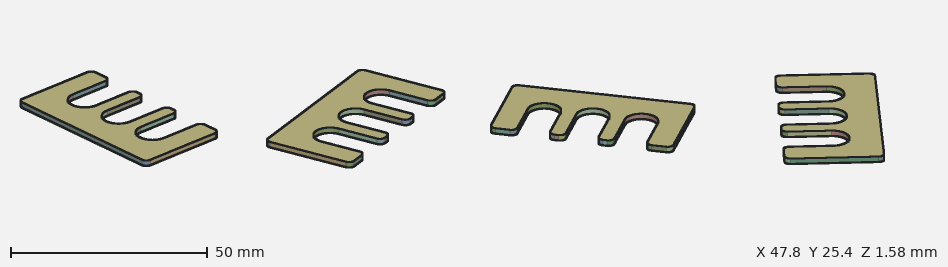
import cadquery as cq

length = 47.75
width = 25.4
thickness = 1.58
corner_radius = 1.55

slot_count = 3
slot_width = 8.6
slot_pitch = 12.7
slot_floor = 8.35

slot_radius = slot_width / 2
back_y = width / 2
arc_center_y = -back_y + slot_floor + slot_radius


def make_slot(center_x):
    """Cutter for one U-shaped slot, open at the +Y edge."""
    left = center_x - slot_radius
    right = center_x + slot_radius
    return (
        cq.Workplane("XY")
        .moveTo(left, back_y)
        .lineTo(left, arc_center_y)
        .threePointArc((center_x, arc_center_y - slot_radius), (right, arc_center_y))
        .lineTo(right, back_y)
        .close()
        .extrude(thickness)
    )


plate = cq.Workplane("XY").box(length, width, thickness, centered=(True, True, False))
for index in range(slot_count):
    plate = plate.cut(make_slot((index - (slot_count - 1) / 2) * slot_pitch))

plate = plate.faces(">Y").edges("|Z").fillet(corner_radius)
result = plate.faces("<Y").edges("|Z").fillet(corner_radius)